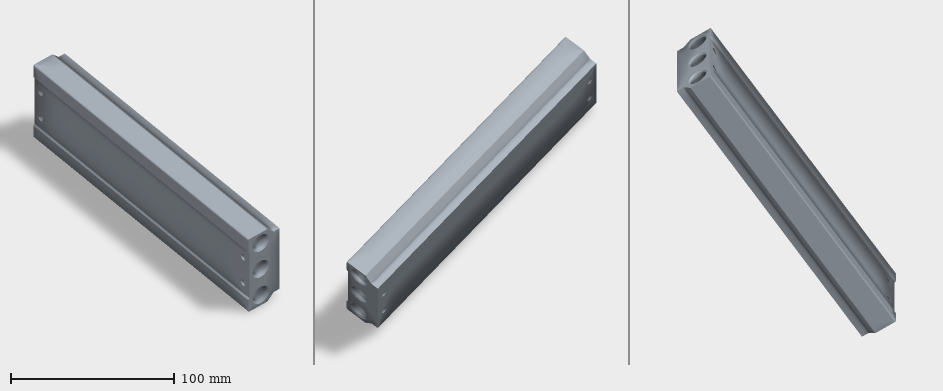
import cadquery as cq

LENGTH = 207.0
DEPTH = 25.0
HEIGHT = 60.0

REAR_STEP = 5.0
FRONT_FILLET = 1.0
LIP_HEIGHT = 10.0
RECESS_DEPTH = 1.0

BORE_DIAMETER = 11.4
BORE_MOUTH_DIAMETER = 13.2
BORE_SPACING = 21.5
BORE_FROM_FRONT = 10.0

MOUNT_DIAMETER = 4.5
MOUNT_SPACING = 21.1
MOUNT_FROM_END = 6.0

FRONT = -DEPTH / 2
REAR = DEPTH / 2
BORE_Y = FRONT + BORE_FROM_FRONT


def make_body():
    """Extrude the cross-section, symmetric about the mid-height plane, and round its front corners."""
    top = HEIGHT / 2
    recess_edge = top - LIP_HEIGHT
    upper_half = [
        (FRONT + RECESS_DEPTH, recess_edge - RECESS_DEPTH),
        (FRONT, recess_edge),
        (FRONT, top),
        (REAR - 2 * REAR_STEP, top),
        (REAR - REAR_STEP, top - REAR_STEP),
        (REAR, top - REAR_STEP),
    ]
    lower_half = [(y, -z) for y, z in reversed(upper_half)]
    profile = cq.Workplane("YZ").polyline(upper_half + lower_half).close()
    body = profile.extrude(LENGTH / 2, both=True)
    front_corners = body.edges("|X and (>Z or <Z)").edges("<Y")
    return front_corners.fillet(FRONT_FILLET)


def make_bore(z):
    """A lengthwise bore as a revolved solid, flared at 45 degrees at both mouths."""
    bore_radius = BORE_DIAMETER / 2
    mouth_radius = BORE_MOUTH_DIAMETER / 2
    end = LENGTH / 2
    flare_start = end - (mouth_radius - bore_radius)
    half_section = [
        (-end, 0),
        (-end, mouth_radius),
        (-flare_start, bore_radius),
        (flare_start, bore_radius),
        (end, mouth_radius),
        (end, 0),
    ]
    section = cq.Workplane("XY").polyline(half_section).close()
    return section.revolve(360, (0, 0), (1, 0)).translate((0, BORE_Y, z))


def make_mounting_holes():
    """Cylinders through the depth, one pair near each end."""
    holes = cq.Workplane("XZ").rect(LENGTH - 2 * MOUNT_FROM_END, MOUNT_SPACING, forConstruction=True)
    return holes.vertices().circle(MOUNT_DIAMETER / 2).extrude(DEPTH, both=True)


result = make_body()
for row in (-1, 0, 1):
    result = result.cut(make_bore(row * BORE_SPACING))
result = result.cut(make_mounting_holes())